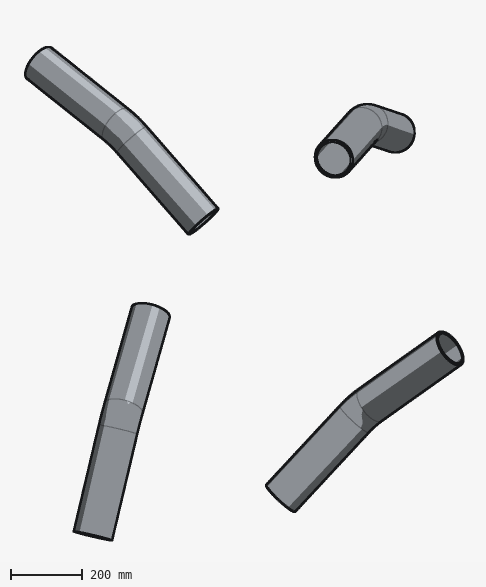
import cadquery as cq
import math

outer_diameter = 110.0
inner_diameter = 97.0
leg_length = 304.0
bend_radius = 164.0
bend_angle = 22.0


def bend_point(angle_degrees):
    """Point (x, z) on the centreline arc after turning by the given angle."""
    angle = math.radians(angle_degrees)
    return (
        leg_length + bend_radius * math.sin(angle),
        -bend_radius * (1 - math.cos(angle)),
    )


bend_end = bend_point(bend_angle)
slope = math.radians(bend_angle)
outlet = (
    bend_end[0] + leg_length * math.cos(slope),
    bend_end[1] - leg_length * math.sin(slope),
)
centreline = (
    cq.Workplane("XZ")
    .lineTo(leg_length, 0)
    .threePointArc(bend_point(bend_angle / 2), bend_end)
    .lineTo(*outlet)
)

result = (
    cq.Workplane("YZ")
    .circle(outer_diameter / 2)
    .circle(inner_diameter / 2)
    .sweep(centreline)
)